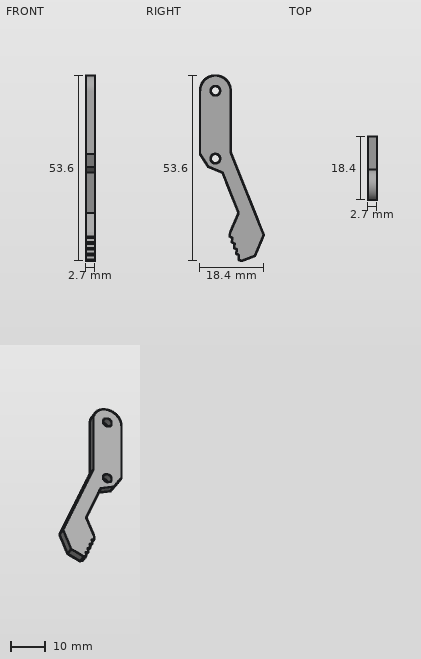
import cadquery as cq

thickness = 2.7
overall_height = 53.65
overall_depth = 18.45

link_radius = 4.45
hole_diameter = 2.7
hole_spacing = 19.6
link_top = hole_spacing + link_radius
shoulder_height = 1.75
chamfer_height = 1.3
chamfer_foot = (-2.1, -2.35)

arm_root = (2.05, -4.1)
elbow = (6.65, -15.7)
heel = (overall_depth - link_radius, -22.05)
sole = (11.45, -28.1)
jaw_bottom = link_top - overall_height

tooth_count = 5
tooth_step_y = 0.65
tooth_step_z = 1.65
undercut_y = 0.85
undercut_z = 0.55
first_tip_y = 4.0
first_tip_z = jaw_bottom + undercut_z + (tooth_count - 1) * tooth_step_z


def tooth_points():
    """Corners of the teeth from the top down, ending at the lowest point of the jaw."""
    root_y = first_tip_y + undercut_y
    root_z = first_tip_z - undercut_z
    points = [(root_y - tooth_step_y, root_z + tooth_step_z)]
    for index in range(tooth_count):
        drop_y = index * tooth_step_y
        drop_z = index * tooth_step_z
        points.append((first_tip_y + drop_y, first_tip_z - drop_z))
        points.append((root_y + drop_y, root_z - drop_z))
    return points


def lever_plate():
    """Extruded outline of the link, arm and toothed jaw."""
    outline = (
        cq.Workplane("YZ")
        .moveTo(link_radius, hole_spacing)
        .threePointArc((0, link_top), (-link_radius, hole_spacing))
        .lineTo(-link_radius, chamfer_height)
    )
    corners = [chamfer_foot, arm_root, elbow, *tooth_points(), sole, heel, (link_radius, shoulder_height)]
    for corner in corners:
        outline = outline.lineTo(*corner)
    return outline.close().extrude(thickness / 2, both=True)


def pivot_holes():
    """Cylinders that cut both holes through the plate."""
    return (
        cq.Workplane("YZ")
        .pushPoints([(0, 0), (0, hole_spacing)])
        .circle(hole_diameter / 2)
        .extrude(thickness, both=True)
    )


result = lever_plate().cut(pivot_holes())